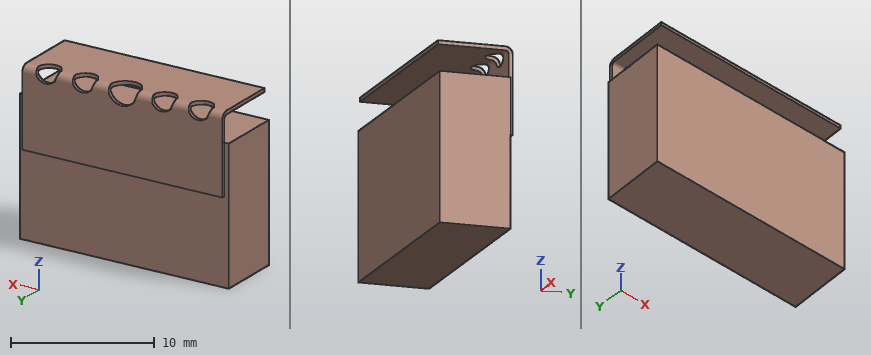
import cadquery as cq
import math

overall_depth = 5.5
overall_height = 13.2

sheet = 0.3
cover_length = 16.48
wall_bottom = 6.86
bend_inner_radius = 0.3
bend_outer_radius = bend_inner_radius + sheet
bend_neutral_radius = bend_inner_radius + sheet / 2
bend_length = math.pi / 2 * bend_neutral_radius

body_length = 17.2
body_depth = overall_depth - sheet
body_height = 10.89

front_y = -body_depth
rear_y = sheet
bend_y = rear_y - bend_outer_radius
bend_z = overall_height - bend_outer_radius

hole_shift = 0.17
small_hole_radius = 0.9
large_hole_radius = 1.19
inner_hole_x = 3.27
small_hole_pitch = 3.01
outer_hole_x = inner_hole_x + small_hole_pitch

cut_margin = 0.17
curve_points = 13


def make_body():
    """Plain block with its rear face at Y = 0."""
    body = cq.Workplane("XY").box(body_length, body_depth, body_height, centered=(True, False, False))
    return body.translate((0, front_y, 0))


def make_cover():
    """Bent sheet: the L profile in YZ, extruded along the cover length."""
    diagonal = math.sqrt(0.5)
    outer_mid = (bend_y + bend_outer_radius * diagonal, bend_z + bend_outer_radius * diagonal)
    inner_mid = (bend_y + bend_inner_radius * diagonal, bend_z + bend_inner_radius * diagonal)
    return (
        cq.Workplane("YZ")
        .moveTo(0, wall_bottom)
        .lineTo(rear_y, wall_bottom)
        .lineTo(rear_y, bend_z)
        .threePointArc(outer_mid, (bend_y, overall_height))
        .lineTo(front_y, overall_height)
        .lineTo(front_y, overall_height - sheet)
        .lineTo(bend_y, overall_height - sheet)
        .threePointArc(inner_mid, (0, bend_z))
        .close()
        .extrude(cover_length / 2, both=True)
    )


def circle_segment(plane, hole_radius, start):
    """Cutter for the part of a hole more than `start` away from its centre, towards +Y of the plane."""
    half_width = math.sqrt(hole_radius**2 - start**2)
    return (
        plane.moveTo(-half_width, 0)
        .threePointArc((0, hole_radius - start), (half_width, 0))
        .close()
        .extrude(sheet + cut_margin, both=True)
    )


def flange_cutter(x, hole_radius):
    """Part of a hole that lies in the flat flange, cut vertically."""
    plane = cq.Plane((x, bend_y, overall_height), xDir=(-1, 0, 0), normal=(0, 0, 1))
    return circle_segment(cq.Workplane(plane), hole_radius, hole_shift)


def wall_cutter(x, hole_radius):
    """Part of a hole that lies in the upright wall, cut along Y."""
    plane = cq.Plane((x, rear_y, bend_z), xDir=(1, 0, 0), normal=(0, 1, 0))
    return circle_segment(cq.Workplane(plane), hole_radius, bend_length - hole_shift)


def bend_edge(x, hole_radius, radius, side):
    """Hole rim wrapped around the bend at one radius, from the flange end to the wall end."""
    points = []
    for i in range(curve_points):
        turn = math.pi / 2 * i / (curve_points - 1)
        along = turn * bend_neutral_radius - hole_shift
        half_width = math.sqrt(hole_radius**2 - along**2)
        points.append(
            cq.Vector(
                x + side * half_width,
                bend_y + radius * math.sin(turn),
                bend_z + radius * math.cos(turn),
            )
        )
    return cq.Edge.makeSpline(points)


def bend_cutter(x, hole_radius):
    """Part of a hole that lies in the bend, its walls running radially through the sheet."""
    inside = bend_inner_radius - cut_margin
    outside = bend_outer_radius + cut_margin
    rims = [
        bend_edge(x, hole_radius, inside, -1),
        bend_edge(x, hole_radius, outside, -1),
        bend_edge(x, hole_radius, outside, 1),
        bend_edge(x, hole_radius, inside, 1),
    ]
    faces = [cq.Face.makeRuledSurface(rims[i - 1], rims[i]) for i in range(len(rims))]
    for corners in ([rim.startPoint() for rim in rims], [rim.endPoint() for rim in rims]):
        faces.append(cq.Face.makeFromWires(cq.Wire.makePolygon(corners, close=True)))
    return cq.Workplane(cq.Solid.makeSolid(cq.Shell.makeShell(faces)))


def punch_hole(cover, x, hole_radius):
    for cutter in (flange_cutter, bend_cutter, wall_cutter):
        cover = cover.cut(cutter(x, hole_radius))
    return cover


cover = punch_hole(make_cover(), 0, large_hole_radius)
for hole_x in (-outer_hole_x, -inner_hole_x, inner_hole_x, outer_hole_x):
    cover = punch_hole(cover, hole_x, small_hole_radius)

result = make_body().union(cover)